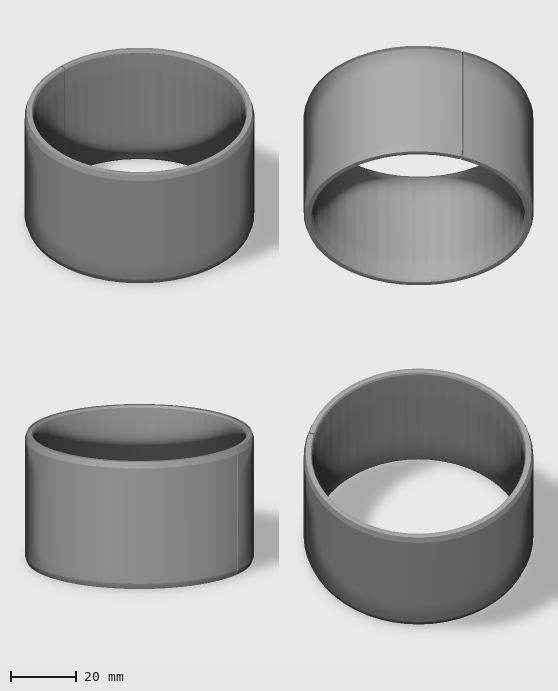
import cadquery as cq

outer_diameter = 70.0
wall = 2.5
length = 40.0

outer_chamfer_height = 1.8
outer_chamfer_depth = 0.6
inner_chamfer_height = 0.6
inner_chamfer_depth = 0.35

slit_width = 0.5

outer_radius = outer_diameter / 2
inner_radius = outer_radius - wall
half_length = length / 2


def bushing_ring():
    """Revolve the chamfered wall section around Z."""
    rim_outer = outer_radius - outer_chamfer_depth
    rim_inner = inner_radius + inner_chamfer_depth
    outer_edge_z = half_length - outer_chamfer_height
    inner_edge_z = half_length - inner_chamfer_height
    section = [
        (inner_radius, -inner_edge_z),
        (rim_inner, -half_length),
        (rim_outer, -half_length),
        (outer_radius, -outer_edge_z),
        (outer_radius, outer_edge_z),
        (rim_outer, half_length),
        (rim_inner, half_length),
        (inner_radius, inner_edge_z),
    ]
    return cq.Workplane("XZ").polyline(section).close().revolve(360, (0, 0, 0), (0, 1, 0))


def slit_cutter():
    """Box from the axis out past the wall on the -X side."""
    slit = cq.Workplane("XY").box(outer_diameter, slit_width, length, centered=(True, False, True))
    return slit.translate((-outer_radius, 0, 0))


result = bushing_ring().cut(slit_cutter())